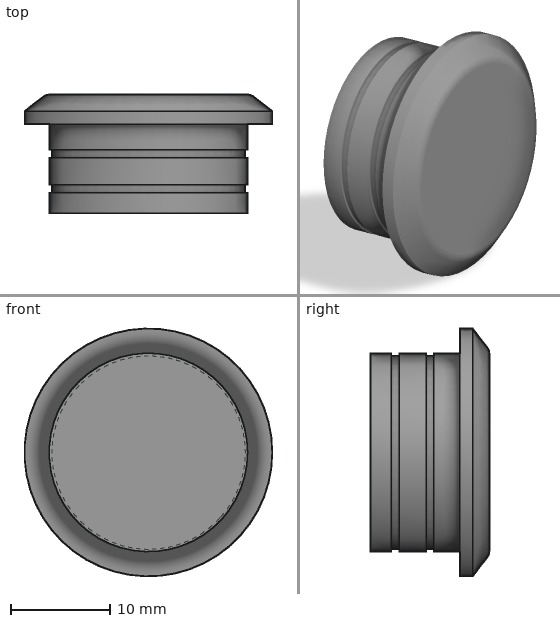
import cadquery as cq

total_length = 12.0
flange_diameter = 25.0
flange_thickness = 3.0
rim_width = 1.3
crown_diameter = 20.6
crown_fillet = 1.1

stem_diameter = 20.0
stem_length = total_length - flange_thickness
groove_diameter = 19.5
groove_width = 0.8
groove_starts = (2.1, 5.6)


def disc(diameter, start, length):
    """Cylinder on the Y axis that runs from start towards +Y."""
    plane = cq.Plane(origin=(0, start, 0), xDir=(1, 0, 0), normal=(0, 1, 0))
    return cq.Workplane(plane).circle(diameter / 2).extrude(length)


def flange():
    """Flange with a straight rim, a conical back and a rounded crown edge."""
    profile = (
        cq.Workplane("XY")
        .moveTo(0, stem_length)
        .lineTo(flange_diameter / 2, stem_length)
        .lineTo(flange_diameter / 2, stem_length + rim_width)
        .lineTo(crown_diameter / 2, total_length)
        .lineTo(0, total_length)
        .close()
    )
    body = profile.revolve(360, (0, 0, 0), (0, 1, 0))
    return body.faces(">Y").edges().fillet(crown_fillet)


def groove(start):
    """Ring of material to remove from the stem."""
    outer = disc(stem_diameter, start, groove_width)
    return outer.cut(disc(groove_diameter, start, groove_width))


stem = disc(stem_diameter, 0, stem_length)
for groove_start in groove_starts:
    stem = stem.cut(groove(groove_start))

result = stem.union(flange()).translate((0, -total_length / 2, 0))